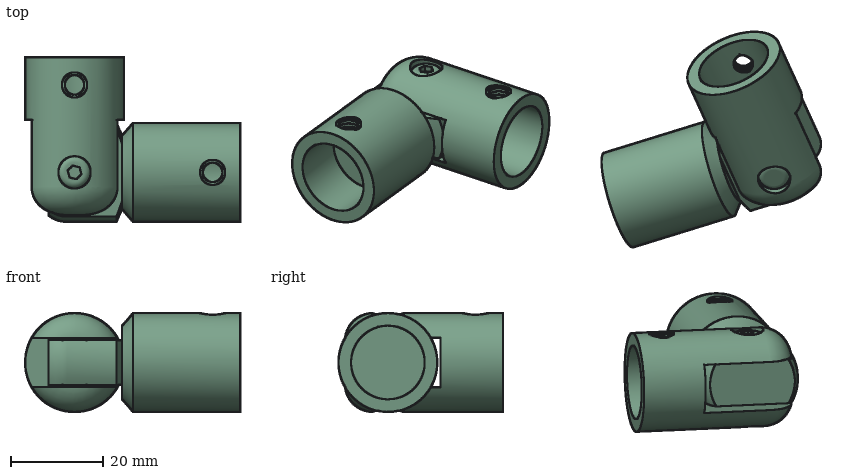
import cadquery as cq
import math


body_radius = 21.5 / 2
bore_radius = 16.0 / 2
bore_depth = 11.95
round_radius = 6.15
cutter_size = 4 * body_radius

fork_end = 25.0
round_start = -3.2
slot_end = 11.4
slot_width = 10.7

pin_radius = 5.15 / 2
head_radius = 7 / 2
head_top = 10.0
head_round = 1.35
head_seat = 7.95
hex_across_corners = 3.1
hex_depth = 1.3
hex_turn = 45

eye_end = 36.0
shoulder_start = 10.3
shoulder_end = 12.7
tongue_tip = -5.6
tongue_round_start = -1.75
groove_start = 9.1
tongue_thickness = 9.72

screw_inset = 6.05
thread_minor_radius = 4.2 / 2
thread_major_radius = 5.15 / 2
thread_pitch = 0.8
thread_groove_count = 3
mouth_radius = 5.45 / 2
mouth_bottom = 10.25


def cylinder_z(radius, bottom, top):
    return cq.Workplane("XY").workplane(offset=bottom).circle(radius).extrude(top - bottom)


def make_screw_hole(x, y):
    """Cutter for a vertical hole through the upper wall, with V-shaped thread grooves."""
    hole = cylinder_z(thread_minor_radius, 0, body_radius)
    hole = hole.union(cylinder_z(mouth_radius, mouth_bottom, body_radius))
    for index in range(thread_groove_count):
        groove_top = mouth_bottom - index * thread_pitch
        groove = (
            cq.Workplane("XZ")
            .moveTo(0, groove_top)
            .lineTo(thread_minor_radius, groove_top)
            .lineTo(thread_major_radius, groove_top - thread_pitch / 2)
            .lineTo(thread_minor_radius, groove_top - thread_pitch)
            .lineTo(0, groove_top - thread_pitch)
            .close()
            .revolve(360, (0, 0, 0), (0, 1, 0))
        )
        hole = hole.union(groove)
    return hole.translate((x, y, 0))


def make_pin():
    """Pin with a domed head at each end and a hexagon socket in the upper head."""
    pin = cylinder_z(pin_radius, -head_seat, head_seat)
    head = cylinder_z(head_radius, head_seat, head_top).faces(">Z").edges().fillet(head_round)
    pin = pin.union(head).union(head.mirror("XY"))
    socket = (
        cq.Workplane("XY")
        .workplane(offset=head_top - hex_depth)
        .polygon(6, hex_across_corners)
        .extrude(hex_depth)
        .rotate((0, 0, 0), (0, 0, 1), hex_turn)
    )
    return pin.cut(socket)


def make_fork():
    length = fork_end - round_start + round_radius
    fork = (
        cq.Workplane("XZ", origin=(0, fork_end, 0))
        .circle(body_radius)
        .extrude(length)
        .faces("<Y").edges().fillet(round_radius)
    )
    bore = cq.Workplane("XZ", origin=(0, fork_end, 0)).circle(bore_radius).extrude(bore_depth)
    slot = (
        cq.Workplane("XY")
        .box(cutter_size, cutter_size, slot_width)
        .translate((0, slot_end - cutter_size / 2, 0))
    )
    fork = fork.cut(bore).cut(slot).cut(make_screw_hole(0, fork_end - screw_inset))
    for bottom, top in ((head_seat, body_radius), (-body_radius, -head_seat)):
        fork = fork.cut(cylinder_z(head_radius, bottom, top))
    return fork.union(make_pin())


def make_eye():
    round_centre = body_radius - round_radius

    def round_height(x):
        return round_centre + math.sqrt(round_radius**2 - (tongue_round_start - x) ** 2)

    round_middle = (tongue_tip + tongue_round_start) / 2

    tongue = (
        cq.Workplane("XY")
        .moveTo(tongue_tip, 0)
        .lineTo(tongue_tip, round_height(tongue_tip))
        .threePointArc((round_middle, round_height(round_middle)), (tongue_round_start, body_radius))
        .lineTo(groove_start, body_radius)
        .lineTo(shoulder_start, bore_radius)
        .lineTo(shoulder_start, 0)
        .close()
        .revolve(360, (0, 0, 0), (1, 0, 0))
    )
    flats = cq.Workplane("XY").box(cutter_size, cutter_size, tongue_thickness)
    tongue = tongue.intersect(flats)

    socket = (
        cq.Workplane("XY")
        .moveTo(shoulder_start, 0)
        .lineTo(shoulder_start, bore_radius)
        .lineTo(shoulder_end, body_radius)
        .lineTo(eye_end, body_radius)
        .lineTo(eye_end, bore_radius)
        .lineTo(eye_end - bore_depth, bore_radius)
        .lineTo(eye_end - bore_depth, 0)
        .close()
        .revolve(360, (0, 0, 0), (1, 0, 0))
    )
    pin_hole = cylinder_z(pin_radius, -body_radius, body_radius)
    return tongue.union(socket).cut(pin_hole).cut(make_screw_hole(eye_end - screw_inset, 0))


fork = make_fork()
eye = make_eye()
result = cq.Compound.makeCompound([fork.val(), eye.val()])